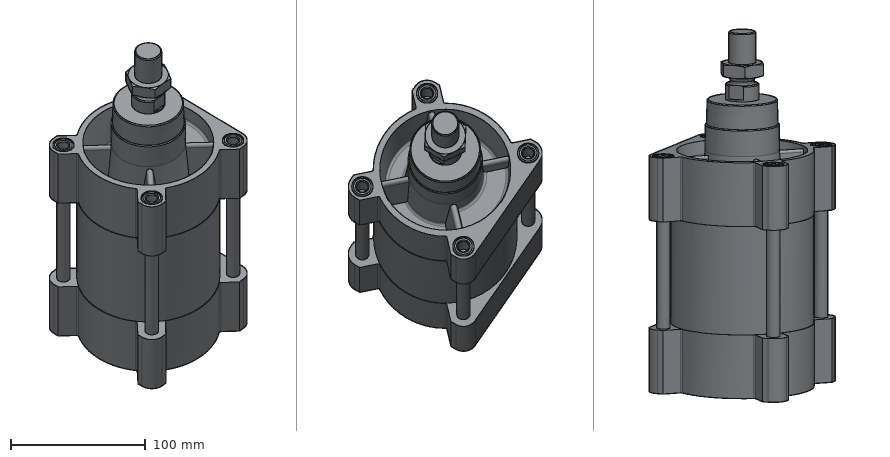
import cadquery as cq
import math


boss_height = 4.0
cover_height = 48.0
barrel_length = 81.7
rear_cover_top = boss_height + cover_height
front_cover_bottom = rear_cover_top + barrel_length
front_cover_top = front_cover_bottom + cover_height
collar_top = front_cover_top + 20.0
nose_top = collar_top + 18.5
shoulder_top = nose_top + 12.0
rod_top = 271.5

cover_width = 110.0
cover_diameter = 107.0
barrel_diameter = 106.5
bolt_spacing = 89.0
lug_neck_fillet = 1.4
tie_rod_diameter = 10.0
half_width = cover_width / 2
bolt_offset = bolt_spacing / 2
lug_radius = half_width - bolt_offset
diagonal_angles = (45, 135, 225, 315)

collar_diameter = 55.0
collar_chamfer = 0.8
nose_base_diameter = 53.2
nose_top_diameter = 52.5
nose_chamfer = 0.8

pocket_diameter = 97.2
deep_pocket_depth = 31.0
shallow_pocket_depth = 11.7
pocket_wall_draft = 8.0
nose_root_draft = 6.0
pocket_floor_fillet = 2.2

rib_tip_radius = 2.5
rib_tip_below_cover = 2.2
rib_draft = 9.0

screw_recess_diameter = 15.7
screw_face_diameter = 13.0
screw_chamfer = 1.0
screw_hole_diameter = 8.5
screw_hole_mouth_diameter = 10.0
screw_hole_depth = 16.3

thread_diameter = 20.0
thread_chamfer = 0.8
neck_diameter = 18.0
neck_fillet = 0.8
neck_height = 2.5
neck_cone_height = 2.5
shoulder_diameter = 25.0
shoulder_chamfer = 0.8
wrench_flat_width = 22.0
wrench_flat_bottom = nose_top + 1.4

nut_flat_width = 30.0
nut_height = 9.8
nut_top = rod_top - 23.3
nut_chamfer_angle = 20.0


def cylinder(diameter, bottom, top):
    """Cylinder on the Z axis between two heights."""
    return cq.Workplane("XY", origin=(0, 0, bottom)).circle(diameter / 2).extrude(top - bottom)


def revolved(profile):
    """Close a profile in XZ (radius, height) and revolve it about the Z axis."""
    return profile.close().revolve(360, (0, 0, 0), (0, 1, 0))


def bolt_corners():
    """Centres of the four tie rods."""
    return [(x, y) for x in (-bolt_offset, bolt_offset) for y in (-bolt_offset, bolt_offset)]


def cover(bottom):
    """Round cover with four corner lugs and a flat +Y side."""
    plane = cq.Workplane("XY", origin=(0, 0, bottom))
    body = plane.circle(cover_diameter / 2).extrude(cover_height)
    band_reach = bolt_offset * math.sqrt(2) + 2 * lug_radius
    for angle in diagonal_angles:
        band = (
            plane.transformed(rotate=(0, 0, angle))
            .center(band_reach / 2, 0)
            .rect(band_reach, 2 * lug_radius)
            .extrude(cover_height)
        )
        body = body.union(band)
    flat_side = (
        plane.center(0, bolt_offset)
        .rect(2 * bolt_offset, 2 * lug_radius)
        .extrude(cover_height)
    )
    envelope = (
        plane.rect(cover_width, cover_width)
        .extrude(cover_height)
        .edges("|Z")
        .fillet(lug_radius)
    )
    body = body.union(flat_side).intersect(envelope)
    return body.edges(lug_neck_selector(bottom)).fillet(lug_neck_fillet)


def lug_neck_selector(bottom):
    """Select the six inner upright edges where a lug side meets the round wall."""
    along = math.sqrt((cover_diameter / 2) ** 2 - lug_radius**2)
    near = (along - lug_radius) / math.sqrt(2)
    far = (along + lug_radius) / math.sqrt(2)
    places = [(far, near), (far, -near), (-far, near), (-far, -near), (near, -far), (-near, -far)]
    reach = 0.3
    top = bottom + cover_height
    selector = None
    for x, y in places:
        box = cq.selectors.BoxSelector(
            (x - reach, y - reach, bottom - reach), (x + reach, y + reach, top + reach), boundingbox=True
        )
        selector = box if selector is None else selector + box
    return selector


def deep_pocket():
    """Ring-shaped pocket volume with drafted walls and rounded floor corners."""
    floor = front_cover_top - deep_pocket_depth
    outer_floor = pocket_diameter / 2 - deep_pocket_depth * math.tan(math.radians(pocket_wall_draft))
    inner_floor = collar_diameter / 2 + deep_pocket_depth * math.tan(math.radians(nose_root_draft))
    ring = revolved(
        cq.Workplane("XZ")
        .moveTo(collar_diameter / 2, front_cover_top)
        .lineTo(pocket_diameter / 2, front_cover_top)
        .lineTo(outer_floor, floor)
        .lineTo(inner_floor, floor)
    )
    return ring.faces("<Z").edges().fillet(pocket_floor_fillet)


def raised_floor():
    """Quarter between the two +Y diagonals, filled up to the shallow floor."""
    return (
        cq.Workplane("XY", origin=(0, 0, front_cover_bottom))
        .polyline([(0, 0), (cover_width, cover_width), (-cover_width, cover_width)])
        .close()
        .extrude(cover_height - shallow_pocket_depth)
    )


def rib(angle):
    """Radial rib with drafted sides and a full-round tip."""
    tip_centre = front_cover_top - rib_tip_below_cover - rib_tip_radius
    draft = math.radians(rib_draft)
    side = rib_tip_radius * math.cos(draft)
    side_height = tip_centre + rib_tip_radius * math.sin(draft)
    foot = side + (side_height - front_cover_bottom) * math.tan(draft)
    bar = (
        cq.Workplane("YZ")
        .moveTo(-foot, front_cover_bottom)
        .lineTo(-side, side_height)
        .threePointArc((0, tip_centre + rib_tip_radius), (side, side_height))
        .lineTo(foot, front_cover_bottom)
        .close()
        .extrude(half_width)
    )
    return bar.rotate((0, 0, 0), (0, 0, 1), angle)


def pocket():
    """Space left around the nose by the raised floor and the ribs."""
    shallow_floor = front_cover_top - shallow_pocket_depth
    space = deep_pocket().cut(raised_floor())
    space = space.faces(cq.NearestToPointSelector((0, cover_diameter / 3, shallow_floor)))
    space = space.edges("%CIRCLE").fillet(pocket_floor_fillet)
    for angle in diagonal_angles:
        space = space.cut(rib(angle))
    return space


def nose():
    """Collar and tapered nose through which the rod leaves the housing."""
    collar = cylinder(collar_diameter, front_cover_bottom, collar_top).faces(">Z").edges().chamfer(collar_chamfer)
    taper = revolved(
        cq.Workplane("XZ")
        .moveTo(0, collar_top)
        .lineTo(nose_base_diameter / 2, collar_top)
        .lineTo(nose_top_diameter / 2, nose_top)
        .lineTo(0, nose_top)
    )
    return collar.union(taper.faces(">Z").edges().chamfer(nose_chamfer))


def screw_recess():
    """V-shaped ring around a screw head and the chamfered blind hole in its middle."""
    top = front_cover_top
    hole_chamfer = (screw_hole_mouth_diameter - screw_hole_diameter) / 2
    groove = revolved(
        cq.Workplane("XZ")
        .moveTo(screw_face_diameter / 2, top)
        .lineTo(screw_recess_diameter / 2, top)
        .lineTo(screw_recess_diameter / 2, top - screw_chamfer)
    )
    hole = revolved(
        cq.Workplane("XZ")
        .moveTo(0, top)
        .lineTo(screw_hole_mouth_diameter / 2, top)
        .lineTo(screw_hole_diameter / 2, top - hole_chamfer)
        .lineTo(screw_hole_diameter / 2, top - screw_hole_depth)
        .lineTo(0, top - screw_hole_depth)
    )
    return groove.union(hole)


def make_housing():
    """Covers, barrel, tie rods, boss and nose as one solid."""
    boss = cylinder(collar_diameter, 0, boss_height).faces("<Z").edges().chamfer(collar_chamfer)
    barrel = cylinder(barrel_diameter, rear_cover_top, front_cover_bottom)
    front_cover = cover(front_cover_bottom).cut(pocket())

    body = cover(boss_height).union(boss).union(barrel).union(front_cover).union(nose())
    for x, y in bolt_corners():
        tie_rod = cylinder(tie_rod_diameter, rear_cover_top, front_cover_bottom).translate((x, y, 0))
        body = body.union(tie_rod).cut(screw_recess().translate((x, y, 0)))
    return body


def make_piston_rod():
    """Shoulder with two wrench flats, undercut neck and plain thread cylinder."""
    cone_bottom = shoulder_top + neck_height
    shoulder = cylinder(shoulder_diameter, nose_top, shoulder_top).faces(">Z").edges().chamfer(shoulder_chamfer)
    flats = (
        cq.Workplane("XY", origin=(0, 0, wrench_flat_bottom))
        .rect(2 * shoulder_diameter, 2 * shoulder_diameter)
        .rect(wrench_flat_width, 2 * shoulder_diameter)
        .extrude(shoulder_top - wrench_flat_bottom)
    )
    stem = revolved(
        cq.Workplane("XZ")
        .moveTo(0, shoulder_top)
        .lineTo(neck_diameter / 2 + neck_fillet, shoulder_top)
        .radiusArc((neck_diameter / 2, shoulder_top + neck_fillet), neck_fillet)
        .lineTo(neck_diameter / 2, cone_bottom)
        .lineTo(thread_diameter / 2, cone_bottom + neck_cone_height)
        .lineTo(thread_diameter / 2, rod_top - thread_chamfer)
        .lineTo(thread_diameter / 2 - thread_chamfer, rod_top)
        .lineTo(0, rod_top)
    )
    return shoulder.cut(flats).union(stem)


def make_lock_nut():
    """Hexagon nut with two flats facing X and chamfered corners."""
    nut_bottom = nut_top - nut_height
    corner_diameter = nut_flat_width / math.cos(math.radians(30))
    corner_radius = corner_diameter / 2
    flat_radius = nut_flat_width / 2
    chamfer_height = (corner_radius - flat_radius) * math.tan(math.radians(nut_chamfer_angle))
    hexagon = (
        cq.Workplane("XY", origin=(0, 0, nut_bottom))
        .polygon(6, corner_diameter)
        .extrude(nut_height)
        .rotate((0, 0, 0), (0, 0, 1), 30)
    )
    corner_envelope = revolved(
        cq.Workplane("XZ")
        .moveTo(0, nut_bottom)
        .lineTo(flat_radius, nut_bottom)
        .lineTo(corner_radius, nut_bottom + chamfer_height)
        .lineTo(corner_radius, nut_top - chamfer_height)
        .lineTo(flat_radius, nut_top)
        .lineTo(0, nut_top)
    )
    return hexagon.intersect(corner_envelope).cut(cylinder(thread_diameter, nut_bottom, nut_top))


housing = make_housing()
piston_rod = make_piston_rod()
lock_nut = make_lock_nut()

result = cq.Compound.makeCompound([housing.val(), piston_rod.val(), lock_nut.val()])